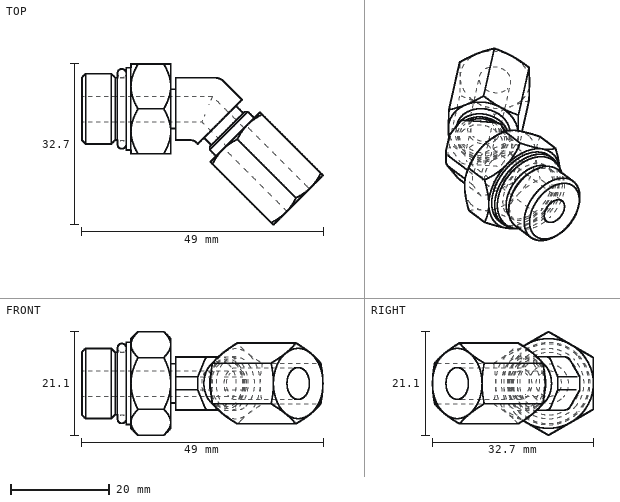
import cadquery as cq
import math

thread_radius = 7.15
stud_chamfer = 0.8
thread_end = 6.0
groove_radius = 6.35
flange_start = 9.0
flange_radius = 8.4
passage_radius = 2.6

oring_section_radius = 0.9

stud_hex_start = 10.0
stud_hex_end = 18.1
stud_hex_corner_radius = 10.55
stud_hex_chamfer_angle = 45

neck_radius = 4.0
block_start = 19.05
bend_x = 25.45
bend_angle = 45
block_end = 3.7
block_half_width = 6.35
block_half_height = 5.4
block_top_half_width = 4.0
block_flank_angle = 60
block_top_fillet = 1.2
outer_bend_fillet = 2.75
inner_bend_fillet = 1.4

outlet_neck_radius = 4.6
collar_start = 5.85
collar_radius = 5.5
collar_chamfer = 0.45
outlet_hex_start = 8.1
outlet_hex_end = 26.2
outlet_hex_corner_radius = 8.25
outlet_hex_chamfer_angle = 30
outlet_bore_radius = 3.25

tolerance = 0.0005
cutter_size = 98
overlap = 1.0

bend_radians = math.radians(bend_angle)
outlet_direction = cq.Vector(math.cos(bend_radians), -math.sin(bend_radians), 0)
outlet_sideways = cq.Vector(math.sin(bend_radians), math.cos(bend_radians), 0)
bend_point = cq.Vector(bend_x, 0, 0)


def stud_plane(distance):
    """Plane across the stud axis at the given X."""
    return cq.Plane(origin=(distance, 0, 0), xDir=(0, 1, 0), normal=(1, 0, 0))


def outlet_plane(distance):
    """Plane across the outlet axis at the given distance from the bend point."""
    origin = bend_point + outlet_direction * distance
    return cq.Plane(origin=origin, xDir=outlet_sideways, normal=outlet_direction)


def cylinder(plane_at, start, end, radius):
    """Round bar along the axis that plane_at follows, between two distances."""
    return cq.Workplane(plane_at(start)).circle(radius).extrude(end - start)


def chamfered_hexagon(plane_at, start, end, corner_radius, chamfer_angle):
    """Hexagonal bar with corners at +-Z, both ends turned down to its inscribed circle."""
    length = end - start
    flat_radius = corner_radius * math.cos(math.pi / 6)
    chamfer_depth = corner_radius - flat_radius
    chamfer_length = chamfer_depth * math.tan(math.radians(chamfer_angle))
    hexagon = (
        cq.Workplane(plane_at(start))
        .transformed(rotate=(0, 0, 90))
        .polygon(6, 2 * corner_radius)
        .extrude(length)
    )
    envelope = (
        cylinder(plane_at, start, end, corner_radius)
        .faces("%PLANE")
        .chamfer(chamfer_length, chamfer_depth)
    )
    return hexagon.intersect(envelope)


def make_stud():
    """Threaded end, groove, flange and the neck that joins the block, turned about X."""
    relief_end = thread_end + thread_radius - groove_radius
    profile = [
        (0, 0),
        (0, thread_radius - stud_chamfer),
        (stud_chamfer, thread_radius),
        (thread_end, thread_radius),
        (relief_end, groove_radius),
        (flange_start, groove_radius),
        (flange_start, flange_radius),
        (stud_hex_start + overlap, flange_radius),
        (stud_hex_start + overlap, neck_radius),
        (block_start + overlap, neck_radius),
        (block_start + overlap, 0),
    ]
    return cq.Workplane("XY").polyline(profile).close().revolve(360, (0, 0, 0), (1, 0, 0))


def block_leg(plane_at, start, end):
    """Eight-sided bar: flat top and bottom, sloping flanks, narrow upright sides."""
    flank_drop = (block_half_width - block_top_half_width) * math.tan(math.radians(block_flank_angle))
    side_half_height = block_half_height - flank_drop
    quarter = [(block_top_half_width, block_half_height), (block_half_width, side_half_height)]
    right_half = quarter + [(x, -z) for x, z in reversed(quarter)]
    outline = right_half + [(-x, -z) for x, z in right_half]
    return cq.Workplane(plane_at(start)).polyline(outline).close().extrude(end - start)


def beyond_mitre():
    """Large block filling the outlet side of the mitre plane at the bend."""
    return (
        cq.Workplane("XY", origin=bend_point.toTuple())
        .transformed(rotate=(0, 0, -bend_angle / 2))
        .box(cutter_size, cutter_size, cutter_size, centered=(False, True, True))
    )


def distance_from_mitre(point):
    """Signed distance of a point from the plane that halves the bend."""
    offset = point - bend_point
    return offset.x * math.cos(bend_radians / 2) - offset.y * math.sin(bend_radians / 2)


def distance_along_outlet(point):
    return (point - bend_point).dot(outlet_direction)


def bend_edges(block, side):
    """Edges on the mitre plane, away from the flat top: side +1 is outside the bend, -1 inside."""
    return [
        edge
        for edge in block.edges().vals()
        if abs(distance_from_mitre(edge.Center())) < tolerance
        and side * edge.Center().y > block_top_half_width / 2
    ]


def rim_edges(block):
    """Long edges of the flat top and bottom, without those across the two ends of the block."""
    def across_an_end(edge):
        at_inlet = edge.Center().x - block_start < tolerance
        at_outlet = block_end - distance_along_outlet(edge.Center()) < tolerance
        return at_inlet or at_outlet

    return [edge for edge in block.faces("|Z").edges().vals() if not across_an_end(edge)]


def make_block():
    """Two legs mitred at the bend, with the bend and the long top and bottom edges rounded."""
    reach = 2 * block_half_width
    inlet_leg = block_leg(stud_plane, block_start, bend_x + reach)
    outlet_leg = block_leg(outlet_plane, -reach, block_end)
    mitre = beyond_mitre()
    block = inlet_leg.cut(mitre).union(outlet_leg.intersect(mitre))
    block = block.newObject(bend_edges(block, 1)).fillet(outer_bend_fillet)
    block = block.newObject(rim_edges(block)).fillet(block_top_fillet)
    return block.newObject(bend_edges(block, -1)).fillet(inner_bend_fillet)


def make_outlet():
    """Neck, collar and hexagon along the outlet axis."""
    neck = cylinder(outlet_plane, block_end - overlap, collar_start + overlap, outlet_neck_radius)
    nearest_end = cq.selectors.DirectionMinMaxSelector(outlet_direction, directionMax=False)
    collar = (
        cylinder(outlet_plane, collar_start, outlet_hex_start + overlap, collar_radius)
        .faces(nearest_end)
        .chamfer(collar_chamfer)
    )
    hexagon = chamfered_hexagon(
        outlet_plane, outlet_hex_start, outlet_hex_end, outlet_hex_corner_radius, outlet_hex_chamfer_angle
    )
    return neck.union(collar).union(hexagon)


def make_passage():
    """Round passage through the stud and the bend, mitred where the two axes meet."""
    reach = 2 * passage_radius
    mitre = beyond_mitre()
    inlet = cylinder(stud_plane, 0, bend_x + reach, passage_radius).cut(mitre)
    outlet = cylinder(outlet_plane, -reach, outlet_hex_start + overlap, passage_radius).intersect(mitre)
    return inlet.union(outlet)


def make_fitting():
    """Stud, elbow block and outlet as one body, bored through."""
    stud_hexagon = chamfered_hexagon(
        stud_plane, stud_hex_start, stud_hex_end, stud_hex_corner_radius, stud_hex_chamfer_angle
    )
    outlet_bore = cylinder(outlet_plane, outlet_hex_start, outlet_hex_end, outlet_bore_radius)
    solid = make_stud().union(stud_hexagon).union(make_block()).union(make_outlet())
    return solid.cut(make_passage()).cut(outlet_bore)


def make_oring():
    """Round-section ring resting on the groove and touching the flange."""
    ring_x = flange_start - oring_section_radius
    ring_radius = groove_radius + oring_section_radius
    return (
        cq.Workplane("XY")
        .center(ring_x, ring_radius)
        .circle(oring_section_radius)
        .revolve(360, (0, -ring_radius, 0), (1, -ring_radius, 0))
    )


fitting = make_fitting()
oring = make_oring()

result = cq.Compound.makeCompound([fitting.val(), oring.val()])